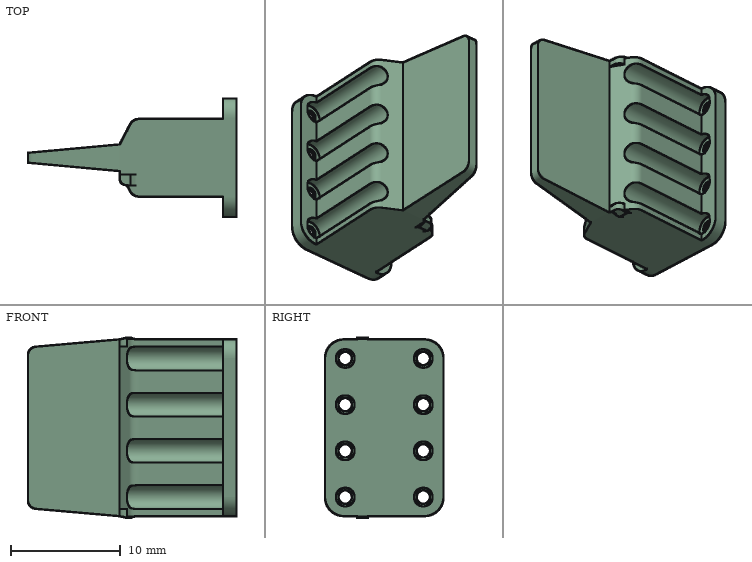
import cadquery as cq
import math

TOTAL_LENGTH = 19.0
BLADE_LENGTH = 8.35
FLANGE_THICKNESS = 1.25
HEIGHT = 16.1
FLANGE_FRONT = TOTAL_LENGTH - FLANGE_THICKNESS

BLADE_ROOT_WIDTH = 2.45
BLADE_TIP_WIDTH = 0.92
BLADE_EDGE_DRAFT = 5.0
BLADE_TIP_HEIGHT = HEIGHT - 2 * BLADE_LENGTH * math.tan(math.radians(BLADE_EDGE_DRAFT))
BLADE_TIP_RADIUS = 0.8

BODY_WIDTH = 7.1
NOSE_SLANT = 27.5
NOSE_RADIUS = 1.0

FLANGE_WIDTH = 10.8
FLANGE_CORNER_RADIUS = 1.75

SCREW_PITCH = 4.2
SCREWS_PER_SIDE = 4
SCREW_HOLE_DIAMETER = 1.2
GROOVE_DIAMETER = 2.15
COUNTERBORE_DEPTH = 0.8
REAR_CHAMFER = 0.25

NUB_OUTER_Y = -2.5
NUB_RADIUS = 0.6
NUB_HEIGHT = 0.65
NUB_LENGTH = 1.0
RIDGE_WIDTH = 1.0
RIDGE_RISE = 0.175
RIDGE_CREST_START = 0.78
RIDGE_CREST_END = 0.98
RIDGE_SHOULDER = 1.11
RIDGE_SHOULDER_RISE = 0.1
RIDGE_LENGTH = 1.45


def make_blade():
    blade = (
        cq.Workplane("YZ")
        .rect(BLADE_TIP_WIDTH, BLADE_TIP_HEIGHT)
        .workplane(offset=BLADE_LENGTH)
        .rect(BLADE_ROOT_WIDTH, HEIGHT)
        .loft(ruled=True)
    )
    tip_corners = blade.edges("|Y").edges("<X")
    return tip_corners.fillet(BLADE_TIP_RADIUS)


def make_body():
    half_root = BLADE_ROOT_WIDTH / 2
    half_width = BODY_WIDTH / 2
    shoulder_x = BLADE_LENGTH + (half_width - half_root) * math.tan(math.radians(NOSE_SLANT))
    outline = [
        (BLADE_LENGTH, half_root),
        (shoulder_x, half_width),
        (FLANGE_FRONT, half_width),
        (FLANGE_FRONT, -half_width),
        (shoulder_x, -half_width),
        (BLADE_LENGTH, -half_root),
    ]
    block = cq.Workplane("XY").polyline(outline).close().extrude(HEIGHT / 2, both=True)
    shoulders = cq.selectors.BoxSelector(
        (shoulder_x - NOSE_RADIUS / 2, -BODY_WIDTH, -HEIGHT),
        (shoulder_x + NOSE_RADIUS / 2, BODY_WIDTH, HEIGHT),
    )
    return block.edges("|Z").edges(shoulders).fillet(NOSE_RADIUS)


def screw_cylinders(diameter, start_x, end_x):
    return (
        cq.Workplane("YZ", origin=(start_x, 0, 0))
        .rarray(BODY_WIDTH, SCREW_PITCH, 2, SCREWS_PER_SIDE)
        .circle(diameter / 2)
        .extrude(end_x - start_x)
    )


def make_flange():
    """Rounded plate with screw holes, counterbored in front and chamfered at the rear."""
    plate = (
        cq.Workplane("YZ", origin=(FLANGE_FRONT, 0, 0))
        .rect(FLANGE_WIDTH, HEIGHT)
        .extrude(FLANGE_THICKNESS)
        .edges("|X")
        .fillet(FLANGE_CORNER_RADIUS)
    )
    plate = plate.cut(screw_cylinders(SCREW_HOLE_DIAMETER, FLANGE_FRONT, TOTAL_LENGTH))
    plate = plate.cut(screw_cylinders(GROOVE_DIAMETER, FLANGE_FRONT, FLANGE_FRONT + COUNTERBORE_DEPTH))
    hole_radius_selector = cq.selectors.RadiusNthSelector(0)
    rear_rims = plate.faces(">X").edges("%CIRCLE").edges(hole_radius_selector)
    return rear_rims.chamfer(REAR_CHAMFER)


def make_top_nub():
    """Corner block beside the blade root, with a low ridge standing above the top face."""
    top = HEIGHT / 2
    root_y = -BLADE_ROOT_WIDTH / 2
    block = (
        cq.Workplane("XY", origin=(BLADE_LENGTH, root_y, top - NUB_HEIGHT))
        .rect(NUB_LENGTH, NUB_OUTER_Y - root_y, centered=False)
        .extrude(NUB_HEIGHT)
    )
    ridge_profile = [
        (0, -NUB_HEIGHT),
        (0, 0),
        (RIDGE_CREST_START, RIDGE_RISE),
        (RIDGE_CREST_END, RIDGE_RISE),
        (RIDGE_SHOULDER, RIDGE_SHOULDER_RISE),
        (RIDGE_LENGTH, 0),
        (RIDGE_LENGTH, -NUB_HEIGHT),
    ]
    ridge = (
        cq.Workplane("XZ", origin=(BLADE_LENGTH, NUB_OUTER_Y, top))
        .polyline(ridge_profile)
        .close()
        .extrude(-RIDGE_WIDTH)
    )
    nub = block.union(ridge)
    return nub.edges("|Z").edges("<X").edges("<Y").fillet(NUB_RADIUS)


body = make_body().cut(screw_cylinders(GROOVE_DIAMETER, BLADE_LENGTH, FLANGE_FRONT))
top_nub = make_top_nub()
bottom_nub = top_nub.mirror("XY")

result = body.union(make_flange()).union(make_blade()).union(top_nub).union(bottom_nub)